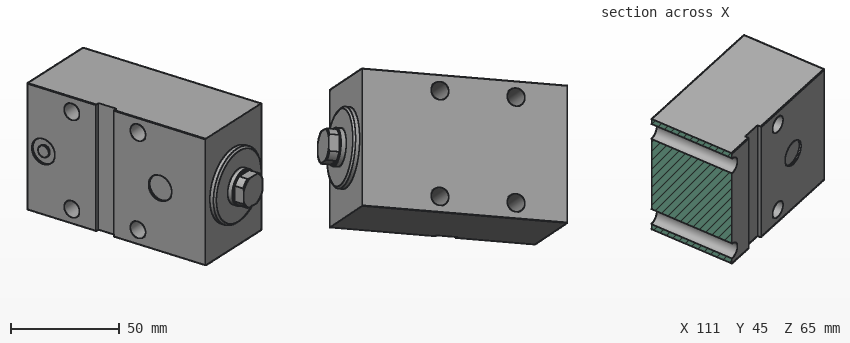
import cadquery as cq

block_length = 99.9
block_depth = 45.0
block_height = 65.0
edge_chamfer = 0.3
front_y = -block_depth / 2

groove_start = 38.5
groove_width = 10.0
groove_depth = 2.0

bolt_hole_diameter = 8.5
bolt_hole_columns = [25.0, 62.0]
bolt_hole_spacing = 50.0

port_diameter = 13.0
port_depth = 1.0
boss_port_x = 9.0
plain_port_x = 74.5
boss_diameter = 6.0

gland_diameter = 38.0
gland_thickness = 3.0
gland_chamfer = 1.0

rod_diameter = 18.0
collar_projection = 3.0
rod_chamfer = 0.5
tip_diameter = rod_diameter - 2 * rod_chamfer
tip_across_flats = 15.0
overall_length = 111.0
gland_end = block_length + gland_thickness
collar_end = gland_end + collar_projection
tip_length = overall_length - collar_end


def front_cylinder(x, z, diameter, depth):
    """Cylinder running from the grooved face into the block along +Y."""
    return cq.Workplane("XZ", origin=(x, front_y, z)).circle(diameter / 2).extrude(-depth)


def end_cylinder(start_x, diameter, length):
    """Cylinder on the rod axis, running toward +X."""
    return cq.Workplane("YZ", origin=(start_x, 0, 0)).circle(diameter / 2).extrude(length)


def make_block():
    block = cq.Workplane("XY").box(block_length, block_depth, block_height, centered=(False, True, True))
    block = block.edges("|X").chamfer(edge_chamfer)

    groove = (
        cq.Workplane("XY", origin=(groove_start, front_y, 0))
        .box(groove_width, 2 * groove_depth, block_height, centered=(False, True, True))
    )
    block = block.cut(groove)

    for x in bolt_hole_columns:
        for z in (-bolt_hole_spacing / 2, bolt_hole_spacing / 2):
            block = block.cut(front_cylinder(x, z, bolt_hole_diameter, block_depth))

    for x in (boss_port_x, plain_port_x):
        block = block.cut(front_cylinder(x, 0, port_diameter, port_depth))
    boss = front_cylinder(boss_port_x, 0, boss_diameter, port_depth)
    return block.union(boss)


def make_gland():
    ring = end_cylinder(block_length, gland_diameter, gland_thickness)
    ring = ring.faces(">X").chamfer(gland_chamfer)
    return ring.cut(end_cylinder(block_length, rod_diameter, gland_thickness))


def make_rod():
    collar = end_cylinder(block_length, rod_diameter, gland_thickness + collar_projection)
    collar = collar.faces(">X").chamfer(rod_chamfer)

    tip = end_cylinder(collar_end, tip_diameter, tip_length).faces(">X").chamfer(rod_chamfer)
    square = (
        cq.Workplane("YZ", origin=(collar_end, 0, 0))
        .rect(tip_across_flats, tip_across_flats)
        .extrude(tip_length)
    )
    return collar.union(tip.intersect(square))


block = make_block()
gland = make_gland()
rod = make_rod()

result = cq.Compound.makeCompound([block.val(), gland.val(), rod.val()])